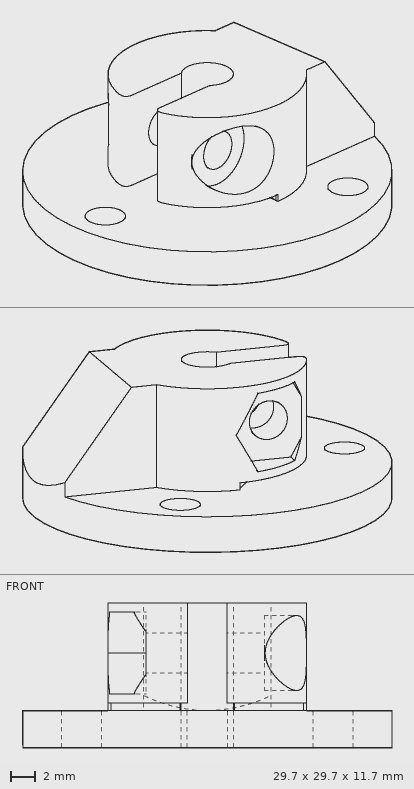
import cadquery as cq
import math

base_diameter = 29.73
base_thickness = 3.0
mount_hole_diameter = 3.25
mount_circle_radius = 11.68

total_height = 11.65
hub_diameter = 16.0
hub_radius = hub_diameter / 2
bore_diameter = 4.2
slot_width = 3.2
lip_start_y = -6.95
lip_end_x = 3.0
lip_fullness = 0.72
front_gap = 0.6
gap_ramp_length = 0.7
ramp_inner_x = 2.2
ramp_outer_x = 7.75

gusset_width = 10.3
gusset_crest_y = 8.26

screw_diameter = 3.25
screw_y = -3.48
nut_across_flats = 6.6
nut_floor_x = -4.95
head_diameter = 6.05
head_floor_x = 4.6

base_radius = base_diameter / 2
hub_underside = base_thickness + front_gap
screw_z = (hub_underside + total_height) / 2


def make_base():
    return cq.Workplane("XY").circle(base_radius).extrude(base_thickness)


def make_gusset():
    """Sloped rear support, trimmed to the rim of the base."""
    profile = [
        (0, base_thickness),
        (base_radius, base_thickness),
        (gusset_crest_y, total_height),
        (0, total_height),
    ]
    wedge = cq.Workplane("YZ").polyline(profile).close().extrude(gusset_width / 2, both=True)
    rim = cq.Workplane("XY").circle(base_radius).extrude(total_height)
    return wedge.intersect(rim)


def make_slot():
    """Slot toward -Y, with lips that blend its walls into the hub cylinder."""
    half_slot = slot_width / 2
    lip_end_y = -math.sqrt(hub_radius**2 - lip_end_x**2)
    hub_slope = lip_end_x / -lip_end_y
    corner_y = lip_end_y - hub_slope * (lip_end_x - half_slot)
    wall_control_y = lip_start_y + lip_fullness * (corner_y - lip_start_y)
    hub_control_x = lip_end_x + lip_fullness * (half_slot - lip_end_x)
    hub_control_y = lip_end_y + lip_fullness * (corner_y - lip_end_y)
    right_lip = [
        (half_slot, lip_start_y),
        (half_slot, wall_control_y),
        (hub_control_x, hub_control_y),
        (lip_end_x, lip_end_y),
    ]
    left_lip = [(-x, y) for x, y in reversed(right_lip)]
    outline = (
        cq.Workplane("XY", origin=(0, 0, base_thickness))
        .moveTo(half_slot, 0)
        .lineTo(half_slot, lip_start_y)
        .bezier(right_lip)
        .lineTo(lip_end_x, -hub_radius)
        .lineTo(-lip_end_x, -hub_radius)
        .lineTo(-lip_end_x, lip_end_y)
        .bezier(left_lip)
        .lineTo(-half_slot, 0)
        .close()
    )
    return outline.extrude(total_height)


def make_split_hub():
    hub = cq.Workplane("XY", origin=(0, 0, base_thickness))
    hub = hub.circle(hub_radius).extrude(total_height - base_thickness)
    return hub.cut(make_slot())


def make_front_gap():
    """Clearance that frees the clamp jaws from the base."""
    gap = cq.Workplane("XY").box(
        hub_diameter, hub_radius, front_gap, centered=(True, False, False)
    )
    gap = gap.translate((0, -hub_radius, base_thickness))
    ramp_profile = [
        (0, base_thickness),
        (0, hub_underside),
        (-gap_ramp_length, hub_underside),
    ]
    for start_x in (-ramp_outer_x, ramp_inner_x):
        ramp = cq.Workplane("YZ").workplane(offset=start_x).polyline(ramp_profile).close()
        gap = gap.cut(ramp.extrude(ramp_outer_x - ramp_inner_x))
    return gap


def make_mount_holes():
    holes = cq.Workplane("XY").polarArray(mount_circle_radius, 30, 360, 3)
    return holes.circle(mount_hole_diameter / 2).extrude(base_thickness)


def make_screw_cut():
    """Cross hole with a hexagonal nut pocket at -X and a round head recess at +X."""
    def axis_at(x):
        return cq.Workplane("YZ", origin=(x, screw_y, screw_z))

    shank = axis_at(-hub_radius).circle(screw_diameter / 2).extrude(hub_diameter)
    nut_across_corners = nut_across_flats / math.cos(math.pi / 6)
    nut = axis_at(nut_floor_x).polygon(6, nut_across_corners).extrude(-hub_radius)
    head = axis_at(head_floor_x).circle(head_diameter / 2).extrude(hub_radius)
    return shank.union(nut).union(head)


bore = cq.Workplane("XY").circle(bore_diameter / 2).extrude(total_height)
clamp = make_split_hub().union(make_gusset()).cut(make_front_gap()).cut(make_screw_cut())
result = make_base().union(clamp).cut(bore).cut(make_mount_holes())